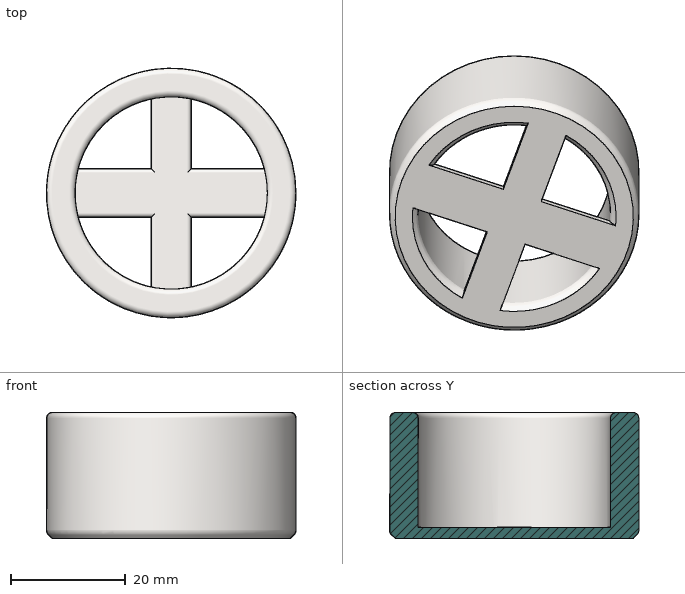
import cadquery as cq

outer_diameter = 43.5
bore_diameter = 33.5
height = 22.0
rim_fillet = 1.0
base_chamfer = 1.0
chamfer_blend_radius = 1.0

x_spoke_width = 8.5
y_spoke_width = 7.0
spoke_thickness = 2.0
spoke_edge_fillet = 0.7

outer_radius = outer_diameter / 2
bore_radius = bore_diameter / 2
spoke_end_embed = 0.25
spoke_end_radius = bore_radius + base_chamfer + spoke_end_embed
spoke_length = outer_diameter


def make_ring():
    """Ring with rounded top rims and blended chamfers around both base edges."""
    ring = cq.Workplane("XY").circle(outer_radius).circle(bore_radius).extrude(height)
    ring = ring.faces(">Z").edges().fillet(rim_fillet)
    ring = ring.faces("<Z").edges().chamfer(base_chamfer)
    shoulder_zone = cq.selectors.BoxSelector(
        (-outer_diameter, -outer_diameter, base_chamfer / 2),
        (outer_diameter, outer_diameter, base_chamfer * 2),
    )
    chamfer_shoulders = ring.edges("%CIRCLE").edges(shoulder_zone)
    return chamfer_shoulders.fillet(chamfer_blend_radius)


def make_cross():
    """Two crossing spokes with rounded upper edges, trimmed to end inside the ring wall."""
    x_spoke = cq.Workplane("XY").rect(spoke_length, x_spoke_width).extrude(spoke_thickness)
    y_spoke = cq.Workplane("XY").rect(y_spoke_width, spoke_length).extrude(spoke_thickness)
    cross = x_spoke.union(y_spoke)
    cross = cross.faces(">Z").edges().fillet(spoke_edge_fillet)
    trim = cq.Workplane("XY").circle(spoke_end_radius).extrude(spoke_thickness)
    return cross.intersect(trim)


result = make_ring().union(make_cross())